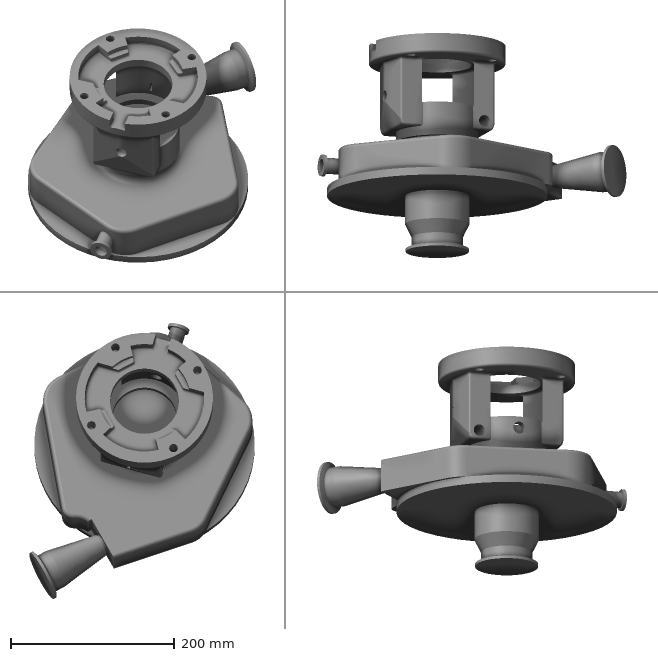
import cadquery as cq
import math


SUCTION_END_Z = -69.5
SUCTION_CONE_TOP_Z = -35.2
SUCTION_CONE_BOTTOM_Z = -51.0
PLATE_TOP_Z = 9.5
VOLUTE_TOP_Z = 50.8
COLLAR_BOTTOM_Z = 66.5
COLLAR_TOP_Z = 108.0
FLANGE_BOTTOM_Z = 163.0
FLANGE_TOP_Z = 186.8

JOINT_OVERLAP = 3.8
SELECTION_MARGIN = 0.5

PLATE_RADIUS = 135.0
SUCTION_RADIUS = 39.5
SUCTION_NECK_RADIUS = 31.5
SUCTION_FERRULE_RADIUS = 38.5
FERRULE_RIM = 3.5
FERRULE_BEVEL = 3.0
NECK_RADIUS = 44.7
NECK_FLARE = 9.5
COLLAR_RADIUS = 50.8
COLLAR_RECESS_RADIUS = 39.8
COLLAR_RECESS_DEPTH = 7.5
COLLAR_HOLE_RADIUS = 7.5
COLLAR_HOLE_DEPTH = 11.5
COLLAR_HOLE_Z = 94.0

VOLUTE_CORNERS = [
    ((-6.5, 166.5), 0),
    ((-102.0, 98.0), 30.3),
    ((-126.0, -64.5), 34.0),
    ((21.5, -138.5), 34.0),
    ((140.0, -24.2), 34.0),
    ((64.0, 132.2), 15.0),
    ((42.5, 125.5), 22.7),
    ((26.5, 131.0), 0),
]
VOLUTE_TOP_FILLET = 4.5

DISCHARGE_ANGLE = 45
DISCHARGE_FACE = 110.0
DISCHARGE_FACE_START = 66.0
NOZZLE_OFFSET = 95.5
NOZZLE_Z = 32.0
NOZZLE_LENGTH = 85.5
NOZZLE_NECK_LENGTH = 3.0
NOZZLE_NECK_RADIUS = 12.5
NOZZLE_ROOT_RADIUS = 14.0
NOZZLE_CONE_END = 66.5
NOZZLE_PIPE_RADIUS = 24.5
NOZZLE_FERRULE_RADIUS = 32.0

DRAIN_END_Y = -150.5
DRAIN_START_Y = -106.0
DRAIN_Z = 28.5
DRAIN_RADIUS = 10.0
DRAIN_FERRULE_RADIUS = 13.3
DRAIN_FERRULE_THICKNESS = 4.0
DRAIN_BORE_RADIUS = 8.0

FLANGE_RADIUS = 83.7
FLANGE_BORE_RADIUS = 42.0
FLANGE_EDGE_FILLET = 3.0
POCKET_RADIUS = 69.5
SIDE_POCKET_RADIUS = 73.0
POCKET_DEPTH = 13.0
POCKET_FLOOR_FILLET = 2.3
NOTCH_WIDTH = 19.7
LUG_INNER = 49.0
LUG_SIDE = (12.0, 15)
LUG_WIDE_SIDE = (10.0, 45)
LUG_CORNER_RADIUS = 2.3
LUG_STEP_RADIUS = 56.0
LUG_STEP_DEPTH = 7.0
BOLT_RADIUS = 5.3
BOLT_OFFSET = 52.3

LEG_HALF_WIDTH = 39.0
LEG_BOTTOM_Z = 78.5
LEG_INNER_RADIUS = 51.5
LEG_RIDGE_Y = 69.5
LEG_CORNER_Y = 60.5
LEG_RIDGE_FILLET = 14.8
LEG_SIDE_FILLET = 2.5
LEG_BOTTOM_FILLET = 5.3
LEG_ROOT_FILLET = 3.0
LEG_TAPER_TOP_Z = 115.0
LEG_TAPER_CORNER_Z = 85.0
LEG_HOLE_RADIUS = 7.0
LEG_HOLE_Z = 120.5
LEG_SLIT_WIDTH = 3.5
CROSS_HOLE_RADIUS = 7.2
CROSS_HOLE_Y = 47.7
CROSS_HOLE_Z = 89.8


def turned(profile, plane="XZ"):
    """Revolve (radius, distance along axis) points about the plane's local Y axis."""
    return cq.Workplane(plane).polyline(profile).close().revolve(360)


def rounded_outline(corners):
    """Closed outline from (point, radius) corners, each rounded by a tangent arc."""
    outline = cq.Workplane("XY", origin=(0, 0, PLATE_TOP_Z)).moveTo(*corners[0][0])
    for index in range(1, len(corners)):
        corner = cq.Vector(*corners[index][0])
        radius = corners[index][1]
        if radius == 0:
            outline = outline.lineTo(corner.x, corner.y)
            continue
        following = corners[(index + 1) % len(corners)][0]
        back = (cq.Vector(*corners[index - 1][0]) - corner).normalized()
        ahead = (cq.Vector(*following) - corner).normalized()
        half_angle = back.getAngle(ahead) / 2
        reach = radius / math.tan(half_angle)
        gap = radius / math.sin(half_angle) - radius
        start = corner + back * reach
        middle = corner + (back + ahead).normalized() * gap
        end = corner + ahead * reach
        outline = outline.lineTo(start.x, start.y)
        outline = outline.threePointArc((middle.x, middle.y), (end.x, end.y))
    return outline.close()


def make_volute():
    """Casing with a rounded top edge and a flat discharge face."""
    height = VOLUTE_TOP_Z - PLATE_TOP_Z
    body = rounded_outline(VOLUTE_CORNERS).extrude(height)
    rim = body.faces(">Z").edges()
    first_corner = cq.Vector(*VOLUTE_CORNERS[0][0])
    last_corner = cq.Vector(*VOLUTE_CORNERS[-1][0])
    discharge_middle = (first_corner + last_corner) * 0.5 + cq.Vector(0, 0, VOLUTE_TOP_Z)
    discharge_edge = body.edges(cq.selectors.NearestToPointSelector(discharge_middle.toTuple()))
    rounded_edges = [edge for edge in rim.vals() if not edge.isSame(discharge_edge.val())]
    body = body.newObject(rounded_edges).fillet(VOLUTE_TOP_FILLET)
    trim = (
        cq.Workplane("XY")
        .box(PLATE_RADIUS, PLATE_RADIUS, VOLUTE_TOP_Z, centered=(False, False, False))
        .translate((DISCHARGE_FACE, DISCHARGE_FACE_START, 0))
        .rotate((0, 0, 0), (0, 0, 1), DISCHARGE_ANGLE)
    )
    return body.cut(trim)


def make_suction():
    bevel_z = SUCTION_END_Z + FERRULE_RIM
    return turned([
        (0, 0),
        (SUCTION_RADIUS, 0),
        (SUCTION_RADIUS, SUCTION_CONE_TOP_Z),
        (SUCTION_NECK_RADIUS, SUCTION_CONE_BOTTOM_Z),
        (SUCTION_NECK_RADIUS, bevel_z + FERRULE_BEVEL),
        (SUCTION_FERRULE_RADIUS, bevel_z),
        (SUCTION_FERRULE_RADIUS, SUCTION_END_Z),
        (0, SUCTION_END_Z),
    ])


def make_nozzle():
    angle = math.radians(DISCHARGE_ANGLE)
    along = cq.Vector(math.cos(angle), math.sin(angle), 0)
    across = cq.Vector(-math.sin(angle), math.cos(angle), 0)
    root = along * DISCHARGE_FACE + across * NOZZLE_OFFSET + cq.Vector(0, 0, NOZZLE_Z)
    plane = cq.Plane(origin=root.toTuple(), xDir=(0, 0, 1), normal=across.toTuple())
    bevel = NOZZLE_LENGTH - FERRULE_RIM
    return turned([
        (0, -JOINT_OVERLAP),
        (NOZZLE_NECK_RADIUS, -JOINT_OVERLAP),
        (NOZZLE_NECK_RADIUS, NOZZLE_NECK_LENGTH),
        (NOZZLE_ROOT_RADIUS, NOZZLE_NECK_LENGTH),
        (NOZZLE_PIPE_RADIUS, NOZZLE_CONE_END),
        (NOZZLE_PIPE_RADIUS, bevel - FERRULE_BEVEL),
        (NOZZLE_FERRULE_RADIUS, bevel),
        (NOZZLE_FERRULE_RADIUS, NOZZLE_LENGTH),
        (0, NOZZLE_LENGTH),
    ], plane)


def y_cylinder(radius, z, start_y, end_y):
    plane = cq.Workplane("XZ", origin=(0, start_y, z))
    return plane.circle(radius).extrude(start_y - end_y)


def make_neck_and_collar():
    arc = NECK_FLARE * (1 - math.sqrt(0.5))
    neck = (
        cq.Workplane("XZ")
        .moveTo(0, VOLUTE_TOP_Z - JOINT_OVERLAP)
        .lineTo(NECK_RADIUS + NECK_FLARE, VOLUTE_TOP_Z - JOINT_OVERLAP)
        .lineTo(NECK_RADIUS + NECK_FLARE, VOLUTE_TOP_Z)
        .threePointArc((NECK_RADIUS + arc, VOLUTE_TOP_Z + arc), (NECK_RADIUS, VOLUTE_TOP_Z + NECK_FLARE))
        .lineTo(NECK_RADIUS, COLLAR_BOTTOM_Z)
        .lineTo(0, COLLAR_BOTTOM_Z)
        .close()
        .revolve(360)
    )
    collar = (
        cq.Workplane("XY", origin=(0, 0, COLLAR_BOTTOM_Z))
        .circle(COLLAR_RADIUS)
        .extrude(COLLAR_TOP_Z - COLLAR_BOTTOM_Z)
    )
    return neck.union(collar)


def make_leg():
    """Leg on the -Y side, reaching up to the flange."""
    leg = (
        cq.Workplane("XY", origin=(0, 0, LEG_BOTTOM_Z))
        .polyline([
            (-LEG_HALF_WIDTH, 0),
            (-LEG_HALF_WIDTH, -LEG_CORNER_Y),
            (0, -LEG_RIDGE_Y),
            (LEG_HALF_WIDTH, -LEG_CORNER_Y),
            (LEG_HALF_WIDTH, 0),
        ])
        .close()
        .extrude(FLANGE_BOTTOM_Z - LEG_BOTTOM_Z)
    )
    slope = (LEG_RIDGE_Y - LEG_CORNER_Y) / (LEG_TAPER_TOP_Z - LEG_TAPER_CORNER_Z)
    bottom_y = LEG_RIDGE_Y - slope * (LEG_TAPER_TOP_Z - LEG_BOTTOM_Z)
    taper_cut = (
        cq.Workplane("YZ")
        .polyline([
            (-LEG_RIDGE_Y, LEG_TAPER_TOP_Z),
            (-bottom_y, LEG_BOTTOM_Z),
            (-LEG_RIDGE_Y, LEG_BOTTOM_Z),
        ])
        .close()
        .extrude(LEG_HALF_WIDTH, both=True)
    )
    ridge_middle = (0, -LEG_RIDGE_Y, (LEG_BOTTOM_Z + FLANGE_BOTTOM_Z) / 2)
    leg = leg.edges(cq.selectors.NearestToPointSelector(ridge_middle)).fillet(LEG_RIDGE_FILLET)
    leg = leg.cut(taper_cut)
    leg = leg.faces("<Z").edges("<Y").fillet(LEG_BOTTOM_FILLET)
    side_edges = leg.faces("<X or >X").edges("not (>Z or >Y)")
    leg = leg.newObject(side_edges.vals()).fillet(LEG_SIDE_FILLET)
    inner = (
        cq.Workplane("XY", origin=(0, 0, COLLAR_TOP_Z))
        .circle(LEG_INNER_RADIUS)
        .extrude(FLANGE_BOTTOM_Z - COLLAR_TOP_Z)
    )
    return leg.cut(inner)


def make_lug(angle, right_side, left_side):
    """Lug left standing in the flange pocket, with each side as (half width, spread angle)."""
    floor_z = FLANGE_TOP_Z - POCKET_DEPTH
    length = FLANGE_RADIUS - LUG_INNER

    def outer_half_width(side):
        return side[0] + length * math.tan(math.radians(side[1]))

    lug = (
        cq.Workplane("XY", origin=(0, 0, floor_z))
        .polyline([
            (LUG_INNER, -right_side[0]),
            (LUG_INNER + length, -outer_half_width(right_side)),
            (LUG_INNER + length, outer_half_width(left_side)),
            (LUG_INNER, left_side[0]),
        ])
        .close()
        .extrude(POCKET_DEPTH)
        .edges("|Z and <X")
        .fillet(LUG_CORNER_RADIUS)
    )
    return lug.rotate((0, 0, 0), (0, 0, 1), angle)


def make_flange_pocket():
    floor = cq.Workplane("XY", origin=(0, 0, FLANGE_TOP_Z - POCKET_DEPTH))
    pocket = floor.circle(POCKET_RADIUS).extrude(POCKET_DEPTH)
    sides = floor.circle(SIDE_POCKET_RADIUS).extrude(POCKET_DEPTH)
    for edge_x in (-FLANGE_RADIUS, FLANGE_RADIUS):
        wedge = (
            floor.polyline([(0, 0), (edge_x, -FLANGE_RADIUS), (edge_x, FLANGE_RADIUS)])
            .close()
            .extrude(POCKET_DEPTH)
        )
        pocket = pocket.union(sides.intersect(wedge))
    notch = floor.center(0, -FLANGE_RADIUS / 2).rect(NOTCH_WIDTH, FLANGE_RADIUS).extrude(POCKET_DEPTH)
    pocket = pocket.union(notch)
    lugs = [
        (45, LUG_SIDE, LUG_SIDE),
        (135, LUG_SIDE, LUG_SIDE),
        (225, LUG_WIDE_SIDE, LUG_SIDE),
        (315, LUG_SIDE, LUG_WIDE_SIDE),
    ]
    for angle, right_side, left_side in lugs:
        pocket = pocket.cut(make_lug(angle, right_side, left_side))
    pocket = pocket.faces("<Z").edges().fillet(POCKET_FLOOR_FILLET)
    ledge = (
        cq.Workplane("XY", origin=(0, 0, FLANGE_TOP_Z - LUG_STEP_DEPTH))
        .circle(LUG_STEP_RADIUS)
        .extrude(LUG_STEP_DEPTH)
    )
    return pocket.union(ledge)


def make_frame():
    """Motor flange with its two legs."""
    flange = (
        cq.Workplane("XY", origin=(0, 0, FLANGE_BOTTOM_Z))
        .circle(FLANGE_RADIUS)
        .extrude(FLANGE_TOP_Z - FLANGE_BOTTOM_Z)
        .faces("<Z")
        .edges()
        .fillet(FLANGE_EDGE_FILLET)
    )
    leg = make_leg()
    frame = flange.union(leg).union(leg.mirror("XZ"))
    reach = LEG_RIDGE_Y + SELECTION_MARGIN
    near_legs = cq.selectors.BoxSelector(
        (-reach, -reach, FLANGE_BOTTOM_Z - SELECTION_MARGIN),
        (reach, reach, FLANGE_BOTTOM_Z + SELECTION_MARGIN),
        boundingbox=True,
    )
    frame = frame.edges(near_legs).fillet(LEG_ROOT_FILLET)
    frame = frame.cut(make_flange_pocket())
    holes = (
        cq.Workplane("XY", origin=(0, 0, FLANGE_BOTTOM_Z))
        .rect(2 * BOLT_OFFSET, 2 * BOLT_OFFSET, forConstruction=True)
        .vertices()
        .circle(BOLT_RADIUS)
        .extrude(FLANGE_TOP_Z - FLANGE_BOTTOM_Z)
    )
    bore = (
        cq.Workplane("XY", origin=(0, 0, FLANGE_BOTTOM_Z))
        .circle(FLANGE_BORE_RADIUS)
        .extrude(FLANGE_TOP_Z - FLANGE_BOTTOM_Z)
    )
    return frame.cut(holes).cut(bore)


def make_drain():
    """Tube whose bore ends on the outer wall of the volute."""
    ferrule_start = DRAIN_END_Y + DRAIN_FERRULE_THICKNESS
    pipe = y_cylinder(DRAIN_RADIUS, DRAIN_Z, DRAIN_START_Y, DRAIN_END_Y)
    ferrule = y_cylinder(DRAIN_FERRULE_RADIUS, DRAIN_Z, ferrule_start, DRAIN_END_Y)
    bore = y_cylinder(DRAIN_BORE_RADIUS, DRAIN_Z, DRAIN_START_Y, DRAIN_END_Y)
    return pipe.union(ferrule).cut(bore)


def make_collar_cuts():
    """Shallow recess in the top of the collar and a blind hole in its -X side."""
    recess = (
        cq.Workplane("XY", origin=(0, 0, COLLAR_TOP_Z))
        .circle(COLLAR_RECESS_RADIUS)
        .extrude(-COLLAR_RECESS_DEPTH)
    )
    hole = (
        cq.Workplane("YZ", origin=(-COLLAR_RADIUS, 0, COLLAR_HOLE_Z))
        .circle(COLLAR_HOLE_RADIUS)
        .extrude(COLLAR_HOLE_DEPTH)
    )
    return recess.union(hole)


def make_leg_cuts():
    """Round hole in the -Y leg, slit in the +Y leg and a hole along X through the +Y leg."""
    front_hole = y_cylinder(LEG_HOLE_RADIUS, LEG_HOLE_Z, 0, -LEG_RIDGE_Y)
    slit = (
        cq.Workplane("XZ", origin=(0, 0, LEG_HOLE_Z))
        .rect(LEG_SLIT_WIDTH, 2 * LEG_HOLE_RADIUS)
        .extrude(-LEG_RIDGE_Y)
    )
    cross_hole = (
        cq.Workplane("YZ", origin=(0, CROSS_HOLE_Y, CROSS_HOLE_Z))
        .circle(CROSS_HOLE_RADIUS)
        .extrude(COLLAR_RADIUS, both=True)
    )
    return front_hole.union(slit).union(cross_hole)


plate = cq.Workplane("XY").circle(PLATE_RADIUS).extrude(PLATE_TOP_Z)
result = (
    plate.union(make_suction())
    .union(make_drain())
    .union(make_volute())
    .union(make_nozzle())
    .union(make_neck_and_collar())
    .union(make_frame())
    .cut(make_collar_cuts())
    .cut(make_leg_cuts())
)